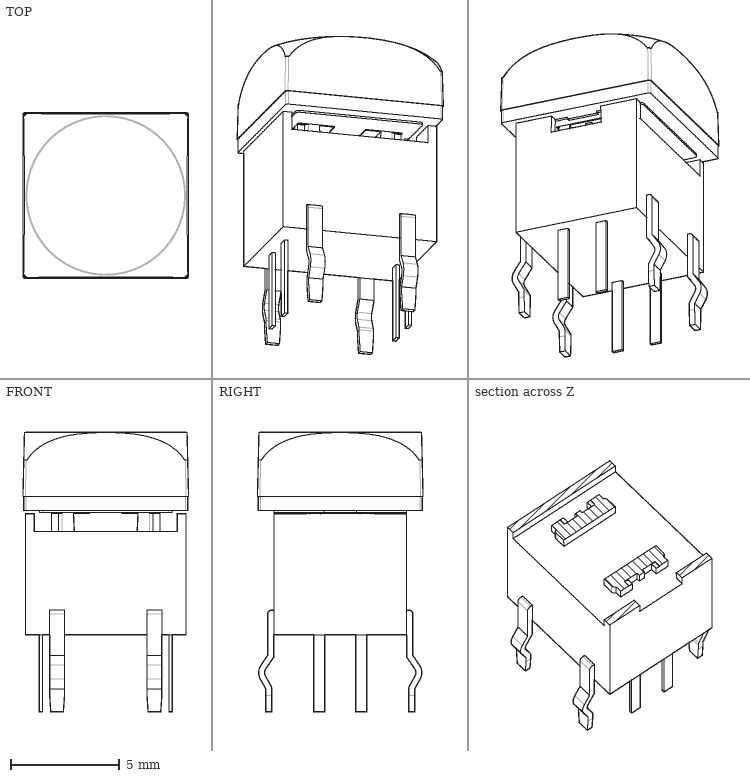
import cadquery as cq
import math

HOUSING_BOTTOM = 3.55
FLOOR_Z = 8.33
HOUSING_TOP = 9.15
PAD_BOTTOM = HOUSING_TOP
PLATE_BOTTOM = 9.19
SKIRT_BOTTOM = 9.28
SKIRT_TOP = 9.93
CAP_TOP = 12.91

HOUSING_LENGTH = 7.42
HOUSING_WIDTH = 6.13
NOTCH_LENGTH = 6.58
END_WALL = (HOUSING_LENGTH - NOTCH_LENGTH) / 2
WINDOW_WIDTH = 2.54
WINDOW_TOP_WIDTH = 2.49

TERMINAL_WIDTH = 0.7
TERMINAL_THICKNESS = 0.28
TERMINAL_X = 2.25
TERMINAL_TOP = 4.7
TERMINAL_TOP_RADIUS = 0.18
UPPER_BEND_Z = 2.61
LOWER_BEND_Z = 1.06
UPPER_BEND_ANGLE = 34.5
LOWER_BEND_ANGLE = 29.0
FOOT_OFFSET = 0.09
KNEE_RADIUS = 0.61
FOOT_BEND_RADIUS = 0.28
TIP_HEIGHT = 0.75
TIP_WIDTH = 0.6

PIN_THICKNESS = 0.15
PIN_WIDTH = 0.52
PIN_Y = 0.97
PIN_OUTER_X = 3.07

CAP_WIDTH = 7.65
CAP_TOP_WIDTH = 7.51
SKIRT_WIDTH = 7.59
CORNER_RADIUS = 0.12
DOME_START_RADIUS = 3.68
DOME_MID = (4.76, 12.32)
DOME_END = (5.25, 11.62)
DISH_RADIUS = 3.64
DISH_DEPTH = 0.28

PLATE_WIDTH = 6.13
PLATE_CORNER_RADIUS = 0.18
PLATE_NOTCH_WIDTH = 1.5
PLATE_NOTCH_DEPTH = 0.18
PAD_INNER_X = 0.75
POST_OUTER_X = 2.5
CORE_OUTER_X = 2.18
CORE_INNER_X = 1.45
CORE_INNER_DRAFT = 0.04
CORE_CORNER_RADIUS = 0.17
CORE_WIDTH = 3.1
FACE_PLATE_WIDTH = 2.84
SLOT_WIDTH = 1.42
SLOT_HEAD_WIDTH = 1.81
SLOT_STEP_Z = 8.74
SLOT_RIB_WIDTH = 0.32
SLOT_RIB_HEIGHT = 0.15


def block(length, width, bottom, top, x=0.0, y=0.0):
    """Upright box centred at x, y."""
    return cq.Workplane("XY", origin=(x, y, bottom)).rect(length, width).extrude(top - bottom)


def make_terminal():
    """One bent terminal on the +Y wall, at X = 0."""
    upper = math.radians(UPPER_BEND_ANGLE)
    lower = math.radians(LOWER_BEND_ANGLE)
    leg_in = HOUSING_WIDTH / 2
    leg_out = leg_in + TERMINAL_THICKNESS
    foot_in = leg_in + FOOT_OFFSET
    foot_out = leg_out + FOOT_OFFSET

    def knee(top_y, top_z, foot_y, foot_z):
        """Point where the two slanted faces meet."""
        slopes = math.tan(upper) + math.tan(lower)
        z = (top_y - foot_y + top_z * math.tan(upper) + foot_z * math.tan(lower)) / slopes
        return top_y + (top_z - z) * math.tan(upper), z

    upper_in_z = UPPER_BEND_Z - TERMINAL_THICKNESS * math.tan(upper / 2)
    lower_in_z = LOWER_BEND_Z + TERMINAL_THICKNESS * math.tan(lower / 2)
    knee_out = knee(leg_out, UPPER_BEND_Z, foot_out, LOWER_BEND_Z)
    knee_in = knee(leg_in, upper_in_z, foot_in, lower_in_z)
    strip = (
        cq.Workplane("YZ", origin=(-TERMINAL_WIDTH / 2, 0, 0))
        .polyline([
            (leg_in, TERMINAL_TOP), (leg_out, TERMINAL_TOP), (leg_out, UPPER_BEND_Z),
            knee_out, (foot_out, LOWER_BEND_Z), (foot_out, 0),
            (foot_in, 0), (foot_in, lower_in_z), knee_in, (leg_in, upper_in_z),
        ])
        .close()
        .extrude(TERMINAL_WIDTH)
    )
    for (y, z), radius in (
        ((leg_out, TERMINAL_TOP), TERMINAL_TOP_RADIUS),
        (knee_out, KNEE_RADIUS),
        (knee_in, KNEE_RADIUS - TERMINAL_THICKNESS),
        ((foot_in, lower_in_z), FOOT_BEND_RADIUS),
    ):
        strip = strip.edges(cq.selectors.NearestToPointSelector((0, y, z))).fillet(radius)

    front_shape = (
        cq.Workplane("XZ")
        .polyline([
            (-TIP_WIDTH / 2, 0), (TIP_WIDTH / 2, 0),
            (TERMINAL_WIDTH / 2, TIP_HEIGHT), (TERMINAL_WIDTH / 2, TERMINAL_TOP),
            (-TERMINAL_WIDTH / 2, TERMINAL_TOP), (-TERMINAL_WIDTH / 2, TIP_HEIGHT),
        ])
        .close()
        .extrude(-HOUSING_WIDTH)
    )
    return strip.intersect(front_shape)


def make_housing():
    """Housing block with its open top, terminals and pins."""
    housing = block(HOUSING_LENGTH, HOUSING_WIDTH, HOUSING_BOTTOM, HOUSING_TOP)
    housing = housing.cut(block(NOTCH_LENGTH, HOUSING_WIDTH, FLOOR_Z, HOUSING_TOP))
    window = (
        cq.Workplane("YZ", origin=(-HOUSING_LENGTH / 2, 0, 0))
        .polyline([
            (-WINDOW_WIDTH / 2, FLOOR_Z), (WINDOW_WIDTH / 2, FLOOR_Z),
            (WINDOW_TOP_WIDTH / 2, HOUSING_TOP), (-WINDOW_TOP_WIDTH / 2, HOUSING_TOP),
        ])
        .close()
        .extrude(END_WALL)
    )
    housing = housing.cut(window)

    terminal = make_terminal()
    opposite_terminal = terminal.mirror("XZ")
    for x in (-TERMINAL_X, TERMINAL_X):
        housing = housing.union(terminal.translate((x, 0, 0)))
        housing = housing.union(opposite_terminal.translate((x, 0, 0)))

    pin_x = PIN_OUTER_X - PIN_THICKNESS / 2
    for x in (-pin_x, pin_x):
        for y in (-PIN_Y, PIN_Y):
            housing = housing.union(block(PIN_THICKNESS, PIN_WIDTH, 0, HOUSING_BOTTOM, x, y))
    return housing


def make_button():
    """Drafted square button with a domed, dished top."""
    height = CAP_TOP - SKIRT_TOP
    draft = math.degrees(math.atan((CAP_WIDTH - CAP_TOP_WIDTH) / 2 / height))
    button = (
        cq.Workplane("XY", origin=(0, 0, SKIRT_TOP))
        .rect(CAP_WIDTH, CAP_WIDTH)
        .extrude(height, taper=draft)
        .edges("not (|X or |Y)")
        .fillet(CORNER_RADIUS)
    )
    envelope = (
        cq.Workplane("XZ")
        .moveTo(0, SKIRT_TOP)
        .lineTo(CAP_WIDTH, SKIRT_TOP)
        .lineTo(CAP_WIDTH, DOME_END[1])
        .lineTo(*DOME_END)
        .threePointArc(DOME_MID, (DOME_START_RADIUS, CAP_TOP))
        .lineTo(DISH_RADIUS, CAP_TOP)
        .lineTo(0, CAP_TOP)
        .close()
        .revolve(360, (0, 0), (0, 1))
    )
    sphere_radius = (DISH_RADIUS ** 2 + DISH_DEPTH ** 2) / (2 * DISH_DEPTH)
    sphere_z = CAP_TOP - DISH_DEPTH + sphere_radius
    dish = cq.Workplane("XY", origin=(0, 0, sphere_z)).sphere(sphere_radius)
    return button.intersect(envelope).cut(dish)


def make_post():
    """Post on the -X side of the cap: a rounded core with a slotted plate on its outer face."""
    core = (
        cq.Workplane("XZ", origin=(0, CORE_WIDTH / 2, 0))
        .polyline([
            (-CORE_OUTER_X, FLOOR_Z), (-CORE_INNER_X, FLOOR_Z),
            (-CORE_INNER_X - CORE_INNER_DRAFT, PLATE_BOTTOM), (-CORE_OUTER_X, PLATE_BOTTOM),
        ])
        .close()
        .extrude(CORE_WIDTH)
        .edges("|Z")
        .fillet(CORE_CORNER_RADIUS)
    )

    face_depth = POST_OUTER_X - CORE_OUTER_X
    face_x = -(POST_OUTER_X + CORE_OUTER_X) / 2
    root_x = -CORE_OUTER_X + CORE_CORNER_RADIUS / 2
    face_plate = block(face_depth, FACE_PLATE_WIDTH, FLOOR_Z, PLATE_BOTTOM, face_x)
    face_plate = face_plate.union(
        block(CORE_CORNER_RADIUS, FACE_PLATE_WIDTH, FLOOR_Z, PLATE_BOTTOM, root_x)
    )
    slot = block(face_depth, SLOT_WIDTH, FLOOR_Z, PLATE_BOTTOM, face_x)
    slot = slot.union(block(face_depth, SLOT_HEAD_WIDTH, SLOT_STEP_Z, PLATE_BOTTOM, face_x))
    rib_x = -CORE_OUTER_X - SLOT_RIB_HEIGHT / 2
    rib = block(SLOT_RIB_HEIGHT, SLOT_RIB_WIDTH, FLOOR_Z, PLATE_BOTTOM, rib_x)
    return core.union(face_plate.cut(slot)).union(rib)


def make_cap():
    """Button, skirt, plate, pads and posts as one body."""
    skirt = block(SKIRT_WIDTH, SKIRT_WIDTH, SKIRT_BOTTOM, SKIRT_TOP).edges("|Z").fillet(CORNER_RADIUS)
    plate = block(PLATE_WIDTH, PLATE_WIDTH, PLATE_BOTTOM, SKIRT_BOTTOM)
    plate = plate.edges("|Z").fillet(PLATE_CORNER_RADIUS)
    notch_x = (PLATE_WIDTH - PLATE_NOTCH_DEPTH) / 2
    for x in (-notch_x, notch_x):
        plate = plate.cut(block(PLATE_NOTCH_DEPTH, PLATE_NOTCH_WIDTH, PLATE_BOTTOM, SKIRT_BOTTOM, x))
    cap = make_button().union(skirt).union(plate)

    post = make_post()
    pad_x = (POST_OUTER_X + PAD_INNER_X) / 2
    for x, side in ((-pad_x, post), (pad_x, post.mirror("YZ"))):
        cap = cap.union(block(POST_OUTER_X - PAD_INNER_X, CORE_WIDTH, PAD_BOTTOM, PLATE_BOTTOM, x))
        cap = cap.union(side)
    return cap


housing = make_housing()
cap = make_cap()
result = cq.Compound.makeCompound([housing.val(), cap.val()])